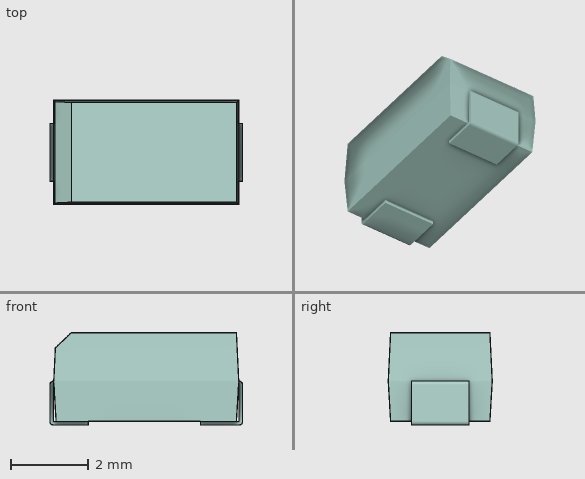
import cadquery as cq

overall_length = 5.0
overall_height = 2.4
body_width = 2.7
lead_thickness = 0.1
lead_width = 1.5
lead_height = 1.14
left_foot_length = 1.0
right_foot_length = 1.1
bend_radius = 0.095
draft_inset = 0.06
band_top = 1.15
parting_band = 0.02
bevel_size = 0.4

body_length = overall_length - 2 * lead_thickness
body_bottom = lead_thickness
band_bottom = band_top - parting_band


def drafted_block(start_height, rise):
    """Block that narrows away from the parting band; a negative rise goes down."""
    return (
        cq.Workplane("XY", origin=(0, 0, start_height))
        .rect(body_length, body_width)
        .workplane(offset=rise)
        .rect(body_length - 2 * draft_inset, body_width - 2 * draft_inset)
        .loft(ruled=True)
    )


def make_body():
    """Moulded body: two drafted halves on a straight band, bevelled at the -X top edge."""
    upper_half = drafted_block(band_top, overall_height - band_top)
    lower_half = drafted_block(band_bottom, body_bottom - band_bottom)
    band = (
        cq.Workplane("XY", origin=(0, 0, band_bottom))
        .rect(body_length, body_width)
        .extrude(parting_band)
    )
    upper_half = upper_half.faces(">Z").edges("<X").chamfer(bevel_size)
    return upper_half.union(band).union(lower_half)


def make_lead(foot_length):
    """L-shaped lead at the -X end, with its foot folded under the body."""
    outer_x = -overall_length / 2
    inner_x = outer_x + lead_thickness
    foot_end_x = outer_x + foot_length
    return (
        cq.Workplane("XZ")
        .moveTo(outer_x, 0)
        .lineTo(foot_end_x, 0)
        .lineTo(foot_end_x, lead_thickness)
        .lineTo(inner_x, lead_thickness)
        .lineTo(inner_x, lead_height)
        .lineTo(outer_x, lead_height)
        .close()
        .extrude(lead_width / 2, both=True)
        .faces("<X")
        .edges("|Y")
        .fillet(bend_radius)
    )


body = make_body()

leads = []
for foot_length, turn in ((left_foot_length, 0), (right_foot_length, 180)):
    leads.append(make_lead(foot_length).rotate((0, 0, 0), (0, 0, 1), turn))

result = cq.Compound.makeCompound([body.val(), *[lead.val() for lead in leads]])